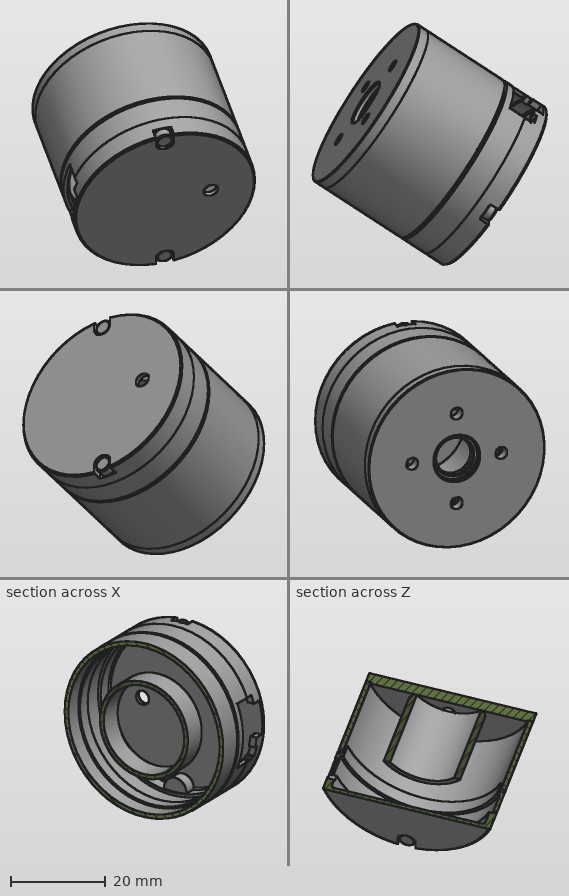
import cadquery as cq
import math

PLATE_END = 2.38
PLATE_SPIGOT_END = 2.77
HOUSING_END = 21.9
LOWER_CAP_START = 22.55
RELIEF_START = 23.35
CAP_JOINT = 28.08
JOINT_LIP_END = 28.5
END_WALL_START = 31.9
LENGTH = 33.0

OUTER_RADIUS = 19.8
HOUSING_BORE_RADIUS = 18.75
CAP_BORE_RADIUS = 18.3
CAP_RELIEF_RADIUS = 18.95
JOINT_LIP_RADIUS = 19.4

PLATE_CHAMFER = 0.15
COUNTERBORE_RADIUS = 5.0
COUNTERBORE_DEPTH = 1.23
BORE_RADIUS = 4.08
BORE_CHAMFER = 0.28
MOUNT_HOLE_RADIUS = 1.3
MOUNT_HOLE_COUNT = 4
MOUNT_CIRCLE_RADIUS = 10.0

SLEEVE_INNER_RADIUS = 9.95
SLEEVE_OUTER_RADIUS = 11.0
SLEEVE_TAPER_WIDTH = 0.45
SLEEVE_TAPER_LENGTH = 1.2

NECK_SPIGOT_DEPTH = 1.6
CAP_END_CHAMFER = 0.3
CORNER_CHAMFER = 0.35
CABLE_HOLE_RADIUS = 1.6

WINDOW_START = 24.25
WINDOW_END = 29.78
WINDOW_HALF_HEIGHT = 7.3
SILL_INNER_Z = -6.75
TAB_END = 31.9
TAB_TOP = 5.5
TAB_BOTTOM = -2.05
NICK_END = 30.55
NICK_TOP = -4.35
NICK_BOTTOM = -6.65
WINDOW_INNER_Y = -11.88

SCREW_ANGLES = (0, 180)
SCREW_RADIUS = 1.82
SCREW_AXIS_Z = 17.82
SCREW_START = 30.65
SCREW_END = 32.67
SCREW_CHAMFER = 0.28
SEAT_RADIUS = 1.98
SEAT_BOSS_RADIUS = 2.77
SEAT_BOSS_START = 28.9


def disc(start, end, radius, y=0, z=0):
    """Solid cylinder along X between two stations."""
    return cq.Workplane("YZ", origin=(start, y, z)).circle(radius).extrude(end - start)


def box(x_limits, y_limits, z_limits):
    """Box given by its lower and upper limits on each axis."""
    sizes = [high - low for low, high in (x_limits, y_limits, z_limits)]
    corner = (x_limits[0], y_limits[0], z_limits[0])
    return cq.Workplane("XY", origin=corner).box(*sizes, centered=False)


def turned(body, angle):
    """Body turned about the X axis by an angle in degrees."""
    return body.rotate((0, 0, 0), (1, 0, 0), angle)


def make_plate():
    """Front plate with a stepped centre bore and a circle of mounting holes."""
    plate = disc(0, PLATE_END, OUTER_RADIUS).faces("<X").chamfer(PLATE_CHAMFER)
    plate = plate.union(disc(PLATE_END, PLATE_SPIGOT_END, HOUSING_BORE_RADIUS))
    plate = plate.cut(bore_cutter(0, COUNTERBORE_DEPTH, COUNTERBORE_RADIUS))
    plate = plate.cut(bore_cutter(COUNTERBORE_DEPTH, PLATE_SPIGOT_END, BORE_RADIUS))
    for index in range(MOUNT_HOLE_COUNT):
        angle = 2 * math.pi * index / MOUNT_HOLE_COUNT
        y = MOUNT_CIRCLE_RADIUS * math.cos(angle)
        z = MOUNT_CIRCLE_RADIUS * math.sin(angle)
        plate = plate.cut(disc(0, PLATE_SPIGOT_END, MOUNT_HOLE_RADIUS, y, z))
    return plate


def bore_cutter(start, end, radius):
    """Cutter for a bore whose mouth, at its start, is chamfered."""
    mouth_radius = radius + BORE_CHAMFER
    return (
        cq.Workplane("XY")
        .moveTo(start, 0)
        .lineTo(start, mouth_radius)
        .lineTo(start + BORE_CHAMFER, radius)
        .lineTo(end, radius)
        .lineTo(end, 0)
        .close()
        .revolve(360, (0, 0), (1, 0))
    )


def make_housing():
    """Plain tube between the front plate and the lower cap."""
    bore = disc(PLATE_END, HOUSING_END, HOUSING_BORE_RADIUS)
    return disc(PLATE_END, HOUSING_END, OUTER_RADIUS).cut(bore)


def make_sleeve():
    """Inner tube standing on the front plate, its outside tapered at the front."""
    sleeve = disc(PLATE_SPIGOT_END, HOUSING_END, SLEEVE_OUTER_RADIUS)
    tip_radius = SLEEVE_OUTER_RADIUS - SLEEVE_TAPER_WIDTH
    taper_end = PLATE_SPIGOT_END + SLEEVE_TAPER_LENGTH
    taper = (
        cq.Workplane("XY")
        .moveTo(PLATE_SPIGOT_END, tip_radius)
        .lineTo(PLATE_SPIGOT_END, SLEEVE_OUTER_RADIUS)
        .lineTo(taper_end, SLEEVE_OUTER_RADIUS)
        .close()
        .revolve(360, (0, 0), (1, 0))
    )
    sleeve = sleeve.cut(taper)
    return sleeve.cut(disc(PLATE_SPIGOT_END, HOUSING_END, SLEEVE_INNER_RADIUS))


def make_lower_cap():
    """Ring with a neck that enters the housing and a lip that enters the upper cap."""
    neck_start = HOUSING_END - NECK_SPIGOT_DEPTH
    cap = disc(LOWER_CAP_START, CAP_JOINT, OUTER_RADIUS)
    cap = cap.union(disc(neck_start, LOWER_CAP_START, HOUSING_BORE_RADIUS))
    cap = cap.union(disc(CAP_JOINT, JOINT_LIP_END, JOINT_LIP_RADIUS))
    cap = cap.cut(disc(neck_start, RELIEF_START, CAP_BORE_RADIUS))
    cap = cap.cut(disc(RELIEF_START, JOINT_LIP_END, CAP_RELIEF_RADIUS))
    return cap.cut(window_cutter())


def make_upper_cap():
    """Closed end cap with the screw seats, a cable hole and its share of the window."""
    cap = disc(CAP_JOINT, LENGTH, OUTER_RADIUS).faces(">X").chamfer(CAP_END_CHAMFER)
    cap = cap.cut(disc(CAP_JOINT, JOINT_LIP_END, JOINT_LIP_RADIUS))
    cavity = disc(CAP_JOINT, END_WALL_START, CAP_BORE_RADIUS)
    cap = cap.cut(cavity.faces(">X").chamfer(CORNER_CHAMFER))
    for angle in SCREW_ANGLES:
        cap = cap.union(turned(seat_boss(), angle)).cut(turned(seat_cutter(), angle))
    cap = cap.cut(disc(END_WALL_START, LENGTH, CABLE_HOLE_RADIUS, y=MOUNT_CIRCLE_RADIUS))
    return cap.cut(window_cutter())


def window_cutter():
    """Stepped connector opening through the wall on the -Y side."""
    depth = (-OUTER_RADIUS, WINDOW_INNER_Y)
    window = box((WINDOW_START, WINDOW_END), depth, (-WINDOW_HALF_HEIGHT, WINDOW_HALF_HEIGHT))
    window = window.cut(sill_wedge())
    window = window.union(box((WINDOW_START, TAB_END), depth, (TAB_BOTTOM, TAB_TOP)))
    return window.union(box((WINDOW_START, NICK_END), depth, (NICK_BOTTOM, NICK_TOP)))


def sill_wedge():
    """Wedge of wall that makes the bottom of the window rise inward, up to the end of the lip."""
    outer_y = -math.sqrt(OUTER_RADIUS**2 - WINDOW_HALF_HEIGHT**2)
    inner_y = -math.sqrt(CAP_RELIEF_RADIUS**2 - SILL_INNER_Z**2)
    return (
        cq.Workplane("YZ", origin=(WINDOW_START, 0, 0))
        .moveTo(outer_y, -WINDOW_HALF_HEIGHT)
        .lineTo(inner_y, SILL_INNER_Z)
        .lineTo(inner_y, -WINDOW_HALF_HEIGHT)
        .close()
        .extrude(JOINT_LIP_END - WINDOW_START)
    )


def seat_boss():
    """Round boss inside the wall at +Z that carries a screw."""
    boss = disc(SEAT_BOSS_START, END_WALL_START, SEAT_BOSS_RADIUS, z=SCREW_AXIS_Z)
    return boss.intersect(disc(SEAT_BOSS_START, END_WALL_START, CAP_RELIEF_RADIUS))


def seat_cutter():
    """Round-bottomed slot at +Z, open toward +Z and +X."""
    slot = box((SCREW_START, LENGTH), (-SEAT_RADIUS, SEAT_RADIUS), (SCREW_AXIS_Z, OUTER_RADIUS))
    return slot.union(disc(SCREW_START, LENGTH, SEAT_RADIUS, z=SCREW_AXIS_Z))


def make_screw(angle):
    """Cylindrical screw head resting on the floor of its seat."""
    screw = disc(SCREW_START, SCREW_END, SCREW_RADIUS, z=SCREW_AXIS_Z)
    return turned(screw.faces(">X").chamfer(SCREW_CHAMFER), angle)


plate = make_plate()
housing = make_housing()
sleeve = make_sleeve()
lower_cap = make_lower_cap()
upper_cap = make_upper_cap()
screws = [make_screw(angle) for angle in SCREW_ANGLES]

bodies = [plate, housing, sleeve, lower_cap, upper_cap, *screws]
result = cq.Compound.makeCompound([body.val() for body in bodies])